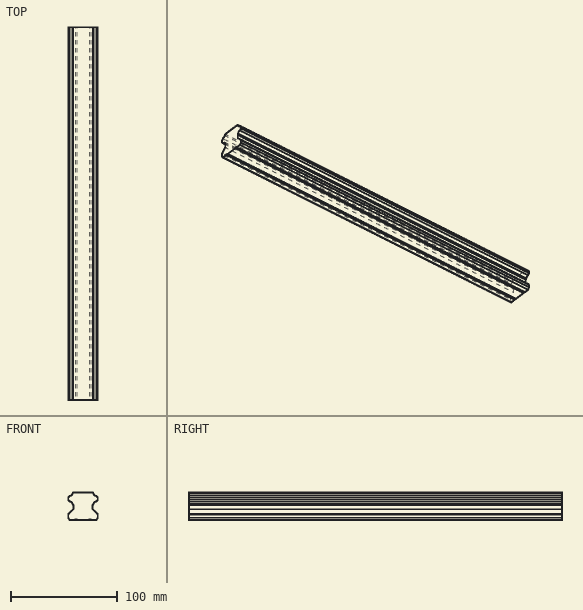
import cadquery as cq
import math

length = 350.0
height = 26.0
half_width = 14.0

head_centre_z = 20.0
head_flat_half_height = 1.0
half_top_width = 9.0
head_chamfer_width = 0.88
groove_inner_x = half_top_width + head_chamfer_width
groove_outer_x = 12.5
groove_inner_offset = 5.0
groove_outer_offset = 2.8
groove_depth = 0.7

waist_bottom_z = 10.0
foot_shoulder_z = 5.5
foot_shoulder_chamfer = 0.7
foot_chamfer_width = 1.5
foot_chamfer_height = 2.0

relief_centre_x = 6.5
relief_width = 1.5
relief_depth = 0.7


def groove_middle(side):
    """Deepest point of a ball groove, above (side=1) or below (side=-1) the head centre."""
    chord_x = groove_outer_x - groove_inner_x
    chord_z = groove_inner_offset - groove_outer_offset
    chord = math.hypot(chord_x, chord_z)
    middle_x = (groove_inner_x + groove_outer_x) / 2 - groove_depth * chord_z / chord
    middle_offset = (groove_inner_offset + groove_outer_offset) / 2 - groove_depth * chord_x / chord
    return (middle_x, head_centre_z + side * middle_offset)


def half_profile():
    """Right half of the rail section in the XZ plane, without the underside reliefs."""
    waist_top_z = 2 * head_centre_z - height
    return (
        cq.Workplane("XZ")
        .moveTo(0, height)
        .lineTo(half_top_width, height)
        .lineTo(groove_inner_x, head_centre_z + groove_inner_offset)
        .threePointArc(groove_middle(1), (groove_outer_x, head_centre_z + groove_outer_offset))
        .lineTo(half_width, head_centre_z + head_flat_half_height)
        .lineTo(half_width, head_centre_z - head_flat_half_height)
        .lineTo(groove_outer_x, head_centre_z - groove_outer_offset)
        .threePointArc(groove_middle(-1), (groove_inner_x, head_centre_z - groove_inner_offset))
        .lineTo(half_top_width, waist_top_z)
        .lineTo(half_top_width, waist_bottom_z)
        .lineTo(half_width, foot_shoulder_z)
        .lineTo(half_width, foot_chamfer_height)
        .lineTo(half_width - foot_chamfer_width, 0)
        .lineTo(0, 0)
        .close()
    )


def half_rail():
    """Right half of the rail, centred along Y, with its foot shoulder chamfered."""
    body = half_profile().extrude(length / 2, both=True)
    shoulder = cq.selectors.NearestToPointSelector((half_width, 0, foot_shoulder_z))
    return body.edges(shoulder).chamfer(foot_shoulder_chamfer)


def relief_grooves():
    """Square-cornered cutters for the underside reliefs, one on each side."""
    return (
        cq.Workplane("XY")
        .pushPoints([(-relief_centre_x, 0), (relief_centre_x, 0)])
        .rect(relief_width, length)
        .extrude(relief_depth)
    )


right_half = half_rail()
rail = right_half.union(right_half.mirror("YZ")).clean()
result = rail.cut(relief_grooves())